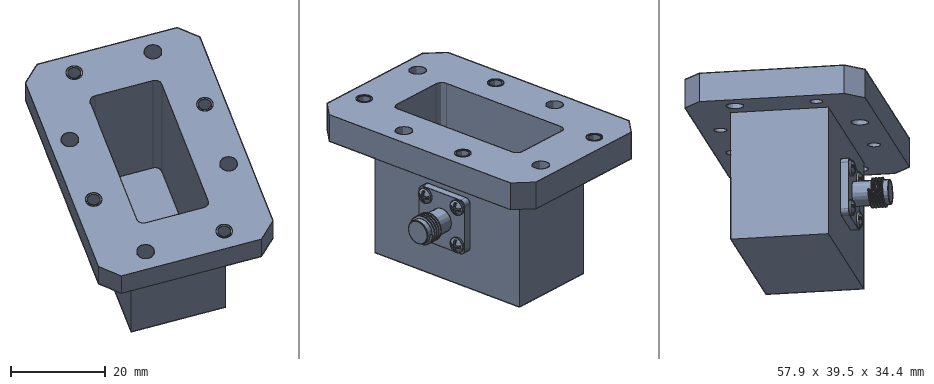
import cadquery as cq
import math

flange_length = 57.9
flange_width = 38.8
flange_thickness = 6.3
flange_corner_cut = 3.8

end_hole_x = 24.5
end_hole_y = 8.75
side_hole_x = 8.15
side_hole_y = 15.0
clearance_diameter = 3.7
tapped_diameter = 2.7
tapped_relief_diameter = 3.5
tapped_relief_depth = 0.1

total_height = 34.35
body_length = 40.1
body_width = 21.0

opening_length = 34.75
opening_width = 15.85
opening_corner_radius = 1.5
floor_thickness = (body_length - opening_length) / 2

connector_height = 14.8
connector_reach = flange_width / 2 + 0.7
plate_size = 12.6
plate_thickness = 1.75
plate_corner_radius = 1.15
barrel_diameter = 5.3
nose_edge_chamfer = 0.1

thread_diameter = 6.35
thread_pitch = 0.7
thread_turns = 4.5
thread_start = 0.8
thread_start_angle = 180
thread_root_width = 0.5
thread_crest_width = 0.2
thread_overlap = 0.1

screw_offset = 4.4
screw_head_diameter = 3.4
screw_head_height = 1.15
screw_head_rim = 0.45
screw_recess_width = 0.6
screw_recess_length = 2.55
screw_recess_depth = 0.6

connector_z = connector_height - total_height
body_face_y = body_width / 2
plate_face_y = body_face_y + plate_thickness


def plane_facing_plus_y(y):
    """Plane at distance y, centred on the connector axis and facing +Y."""
    return cq.Plane(origin=(0, y, connector_z), xDir=(1, 0, 0), normal=(0, 1, 0))


def make_housing():
    flange = (
        cq.Workplane("XY")
        .rect(flange_length, flange_width)
        .extrude(-flange_thickness)
        .edges("|Z")
        .chamfer(flange_corner_cut)
    )
    body = cq.Workplane("XY").rect(body_length, body_width).extrude(-total_height)
    opening = (
        cq.Workplane("XY")
        .rect(opening_length, opening_width)
        .extrude(floor_thickness - total_height)
        .edges("|Z")
        .fillet(opening_corner_radius)
    )
    return flange.union(body).cut(opening)


def make_flange_holes():
    clearance_points = []
    tapped_points = []
    for turn in (1, -1):
        clearance_points.append((-turn * end_hole_x, turn * end_hole_y))
        clearance_points.append((turn * side_hole_x, turn * side_hole_y))
        tapped_points.append((turn * end_hole_x, turn * end_hole_y))
        tapped_points.append((-turn * side_hole_x, turn * side_hole_y))

    def drill(points, diameter, depth):
        return cq.Workplane("XY").pushPoints(points).circle(diameter / 2).extrude(-depth)

    return (
        drill(clearance_points, clearance_diameter, flange_thickness)
        .union(drill(tapped_points, tapped_diameter, flange_thickness))
        .union(drill(tapped_points, tapped_relief_diameter, tapped_relief_depth))
    )


def make_plate():
    return (
        cq.Workplane(plane_facing_plus_y(body_face_y))
        .rect(plate_size, plate_size)
        .extrude(plate_thickness)
        .edges("|Y")
        .fillet(plate_corner_radius)
    )


def make_barrel():
    return (
        cq.Workplane(plane_facing_plus_y(plate_face_y))
        .circle(barrel_diameter / 2)
        .extrude(connector_reach - plate_face_y)
        .faces(">Y")
        .chamfer(nose_edge_chamfer)
    )


def make_thread():
    root_radius = barrel_diameter / 2 - thread_overlap
    crest_radius = thread_diameter / 2
    length = thread_pitch * thread_turns
    path = cq.Wire.makeHelix(thread_pitch, length, root_radius)
    ridge = (
        cq.Workplane("XZ")
        .moveTo(root_radius, -thread_root_width / 2)
        .lineTo(crest_radius, -thread_crest_width / 2)
        .lineTo(crest_radius, thread_crest_width / 2)
        .lineTo(root_radius, thread_root_width / 2)
        .close()
        .sweep(cq.Workplane(path), isFrenet=True)
    )
    turned_ridge = ridge.rotate((0, 0, 0), (0, 0, 1), thread_start_angle).rotate((0, 0, 0), (1, 0, 0), 90)
    first_ridge_y = connector_reach - thread_start - thread_root_width / 2
    return turned_ridge.translate((0, first_ridge_y, connector_z))


def make_screw_head():
    """Domed head with a cross recess, standing on the plate at the connector axis."""
    head_radius = screw_head_diameter / 2
    crown_rise = screw_head_height - screw_head_rim
    crown_radius = (head_radius**2 + crown_rise**2) / (2 * crown_rise)
    half_angle = math.asin(head_radius / crown_radius) / 2
    crown_middle = (
        crown_radius * math.sin(half_angle),
        screw_head_height - crown_radius * (1 - math.cos(half_angle)),
    )
    head = (
        cq.Workplane("XY")
        .lineTo(head_radius, 0)
        .lineTo(head_radius, screw_head_rim)
        .threePointArc(crown_middle, (0, screw_head_height))
        .close()
        .revolve(360, (0, 0), (0, 1))
        .translate((0, plate_face_y, connector_z))
    )
    recess_plane = plane_facing_plus_y(plate_face_y + screw_head_height)
    for size in (
        (screw_recess_width, screw_recess_length),
        (screw_recess_length, screw_recess_width),
    ):
        head = head.cut(cq.Workplane(recess_plane).rect(*size).extrude(-screw_recess_depth))
    return head


result = make_housing().cut(make_flange_holes())
result = result.union(make_plate()).union(make_barrel()).union(make_thread())
screw_head = make_screw_head()
for x in (-screw_offset, screw_offset):
    for z in (-screw_offset, screw_offset):
        result = result.union(screw_head.translate((x, 0, z)))